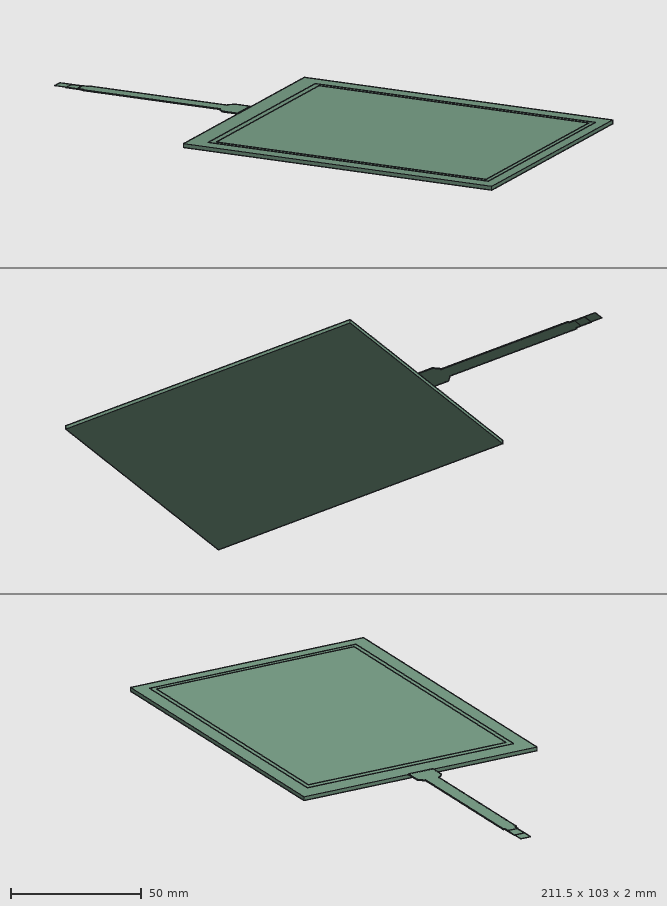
import cadquery as cq

overall_length = 211.5
overall_height = 2.0

panel_length = 131.7
panel_width = 103.0
panel_thickness = 1.59
panel_start = overall_length - panel_length

groove_depth = 0.1
groove_left_margin = 7.6
groove_right_margin = 4.5
groove_end_margin = 6.0
groove_left_width = 2.5
groove_width = 2.0

tail_thickness = 0.5
tail_bottom = overall_height - tail_thickness
tail_width = 5.7
shoulder_start = 71.0
shoulder_width = 10.8
shoulder_chamfer = 2.1
neck_start = 12.0
tip_width = 4.5

tongue_length = 4.9
tongue_thickness = 0.2
contact_length = 9.7
contact_recess = 0.1


def block(x_start, x_end, width, z_start, z_end):
    """Box centred on Y = 0 between the given X and Z limits."""
    return (
        cq.Workplane("XY")
        .box(x_end - x_start, width, z_end - z_start, centered=(False, True, False))
        .translate((x_start, 0, z_start))
    )


def make_panel():
    """Flat plate with a shallow rectangular groove in its upper face."""
    plate = block(panel_start, overall_length, panel_width, 0, panel_thickness)
    groove_floor = panel_thickness - groove_depth
    outer_start = panel_start + groove_left_margin
    outer_end = overall_length - groove_right_margin
    outer_width = panel_width - 2 * groove_end_margin
    groove = block(outer_start, outer_end, outer_width, groove_floor, panel_thickness)
    island = block(
        outer_start + groove_left_width,
        outer_end - groove_width,
        outer_width - 2 * groove_width,
        groove_floor,
        panel_thickness,
    )
    return plate.cut(groove.cut(island))


def make_tail():
    """Thin strip with a chamfered shoulder at the panel and a stepped contact end."""
    shoulder = block(shoulder_start, panel_start, shoulder_width, tail_bottom, overall_height)
    shoulder = shoulder.edges("|Z and <X").chamfer(shoulder_chamfer)
    strip = block(neck_start, shoulder_start, tail_width, tail_bottom, overall_height)
    tip = block(0, neck_start, tip_width, tail_bottom, overall_height)
    below_tongue = block(0, tongue_length, tip_width, tail_bottom, overall_height - tongue_thickness)
    above_contacts = block(0, contact_length, tip_width, overall_height - contact_recess, overall_height)
    tip = tip.cut(below_tongue).cut(above_contacts)
    return shoulder.union(strip).union(tip)


panel = make_panel()
tail = make_tail()

result = cq.Compound.makeCompound([panel.val(), tail.val()])